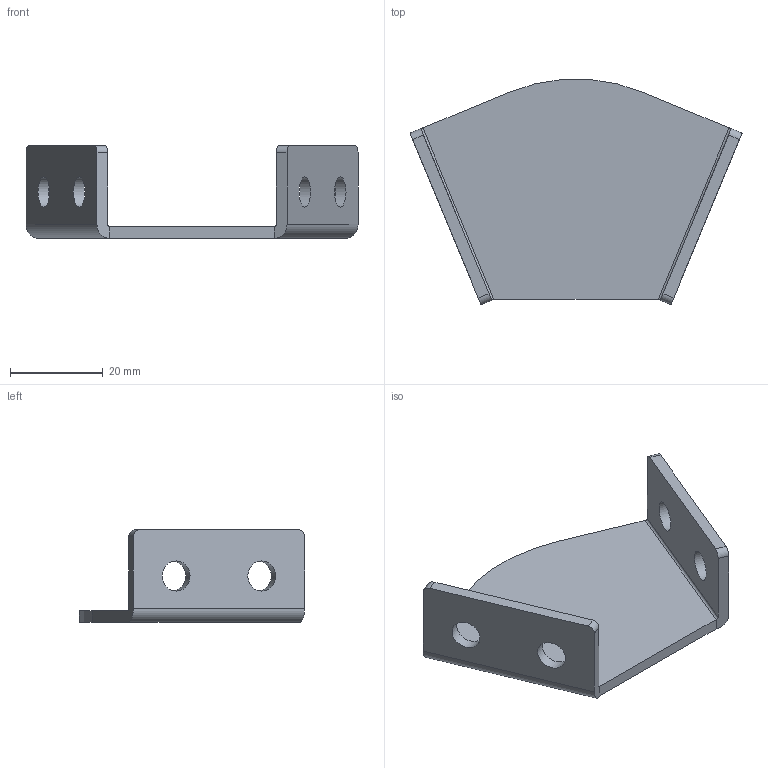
import cadquery as cq
import math


overall_width = 71.6
overall_depth = 48.69
height = 20.0
thickness = 2.5
inner_bend_radius = 0.5
flange_length = 40.0
splay_angle = 22.5
corner_radius = 1.5
hole_diameter = 6.5
hole_height = 10.0
hole_end_distance = 10.0

splay = math.radians(splay_angle)
bend_radius = inner_bend_radius + thickness
flange_run_x = flange_length * math.sin(splay)
flange_run_y = flange_length * math.cos(splay)
front_half_width = overall_width / 2 - flange_run_x - bend_radius * math.cos(splay)
rear_half_width = front_half_width + flange_run_x
rear_tip_y = overall_depth - bend_radius * math.sin(splay)
apex_y = flange_run_y + rear_half_width * math.tan(splay)
rear_radius = (apex_y - rear_tip_y) / (1 / math.cos(splay) - 1)
arc_end_x = rear_radius * math.sin(splay)
arc_end_y = apex_y - arc_end_x * math.tan(splay)


def make_floor():
    """Flat floor between the two bend lines, with a rounded rear edge."""
    return (
        cq.Workplane("XY")
        .moveTo(-front_half_width, 0)
        .lineTo(front_half_width, 0)
        .lineTo(rear_half_width, flange_run_y)
        .lineTo(arc_end_x, arc_end_y)
        .threePointArc((0, rear_tip_y), (-arc_end_x, arc_end_y))
        .lineTo(-rear_half_width, flange_run_y)
        .close()
        .extrude(thickness)
    )


def make_right_flange():
    """Bend and upright flange with its holes, turned to the splay angle."""
    diagonal = math.sqrt(0.5)
    outer_mid = (bend_radius * diagonal, bend_radius * (1 - diagonal))
    inner_mid = (inner_bend_radius * diagonal, bend_radius - inner_bend_radius * diagonal)
    flange = (
        cq.Workplane("XZ")
        .moveTo(0, 0)
        .threePointArc(outer_mid, (bend_radius, bend_radius))
        .lineTo(bend_radius, height)
        .lineTo(inner_bend_radius, height)
        .lineTo(inner_bend_radius, bend_radius)
        .threePointArc(inner_mid, (0, thickness))
        .close()
        .extrude(-flange_length)
    )
    flange = flange.faces(">Z").edges("|X").fillet(corner_radius)
    hole_positions = [
        (hole_end_distance, hole_height),
        (flange_length - hole_end_distance, hole_height),
    ]
    holes = (
        cq.Workplane("YZ")
        .pushPoints(hole_positions)
        .circle(hole_diameter / 2)
        .extrude(bend_radius)
    )
    return (
        flange.cut(holes)
        .rotate((0, 0, 0), (0, 0, 1), -splay_angle)
        .translate((front_half_width, 0, 0))
    )


right_flange = make_right_flange()
left_flange = right_flange.mirror("YZ")
result = make_floor().union(right_flange).union(left_flange)